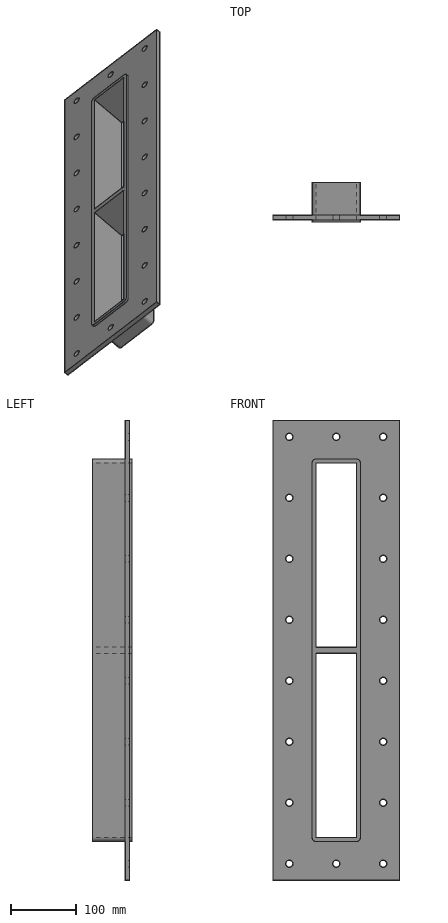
import cadquery as cq

plate_width = 192.5
plate_height = 698.0
plate_thickness = 7.0

overall_depth = 60.0
front_lip = 3.5
duct_width = 73.0
duct_height = 581.0
wall = 6.0
corner_radius = wall
divider_thickness = 10.0

hole_diameter = 10.5
hole_margin = 25.0
hole_rows = 8
hole_span_x = plate_width - 2 * hole_margin
hole_span_z = plate_height - 2 * hole_margin
row_pitch = hole_span_z / (hole_rows - 1)

opening_width = duct_width - 2 * wall
opening_height = (duct_height - 2 * wall - divider_thickness) / 2
opening_offset = (opening_height + divider_thickness) / 2


def block(width, depth, height, front_y):
    """Box centred in X and Z that runs toward +Y from front_y."""
    return cq.Workplane("XY").box(width, depth, height).translate((0, front_y + depth / 2, 0))


def bolt_positions():
    """Two side columns of holes, plus one centre hole at each end."""
    side = hole_span_x / 2
    end = hole_span_z / 2
    points = [(0, -end), (0, end)]
    for row in range(hole_rows):
        z = -end + row * row_pitch
        points += [(-side, z), (side, z)]
    return points


plate = block(plate_width, plate_thickness, plate_height, 0)
bolt_holes = (
    cq.Workplane("XZ")
    .pushPoints(bolt_positions())
    .circle(hole_diameter / 2)
    .extrude(-plate_thickness)
)

duct = block(duct_width, overall_depth, duct_height, -front_lip).edges("|Y").fillet(corner_radius)

result = plate.cut(bolt_holes).union(duct)
for side in (-1, 1):
    opening = block(opening_width, overall_depth, opening_height, -front_lip)
    result = result.cut(opening.translate((0, 0, side * opening_offset)))